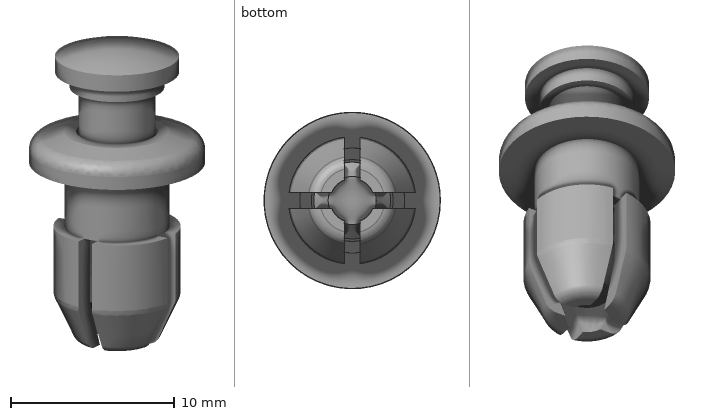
import cadquery as cq

total_height = 19.1

flange_diameter = 10.8
flange_radius = flange_diameter / 2
flange_bottom = 11.5
flange_top = 13.48
flange_corner_height = 13.0
flange_fillet = 0.84
shank_radius = 3.2
collar_radius = 3.9
collar_top = 7.4
nose_top = 3.02
nose_bottom_radius = 2.48
nose_fillet = 0.8
bore_radius = 2.5
bore_taper_top = nose_top
bore_bottom_radius = 1.34
slot_width = 0.95
slot_length = flange_diameter

head_radius = 3.8
head_edge_top = 18.35
head_bottom = 17.3
head_step_radius = 2.9
head_step_bottom = 16.33
stem_radius = 2.35
neck_radius = 2.0
neck_top = collar_top
ring_top = 5.23
ring_bottom = 4.72
tip_widest = nose_top
tip_bottom = 2.0
tip_radius = 1.47


def circle_at(body, height, radius):
    """Select the circular edge of the given height and radius."""
    reach = radius + 0.2
    slack = 0.02
    return body.edges(
        cq.selectors.BoxSelector(
            (-reach, -reach, height - slack), (reach, reach, height + slack), boundingbox=True
        )
    )


def make_sleeve_blank():
    """Solid of revolution with the flange rim and both nose corners rounded."""
    profile = [
        (0, 0),
        (nose_bottom_radius, 0),
        (collar_radius, nose_top),
        (collar_radius, collar_top),
        (shank_radius, collar_top),
        (shank_radius, flange_bottom),
        (flange_radius, flange_bottom),
        (flange_radius, flange_corner_height),
        (shank_radius, flange_top),
        (0, flange_top),
    ]
    blank = cq.Workplane("XZ").polyline(profile).close().revolve(360, (0, 0, 0), (0, 1, 0))
    blank = circle_at(blank, flange_corner_height, flange_radius).fillet(flange_fillet)
    blank = circle_at(blank, nose_top, collar_radius).fillet(nose_fillet)
    return circle_at(blank, 0, nose_bottom_radius).fillet(nose_fillet)


def make_bore():
    """Straight bore that narrows inside the nose."""
    profile = [
        (0, 0),
        (bore_bottom_radius, 0),
        (bore_radius, bore_taper_top),
        (bore_radius, flange_top),
        (0, flange_top),
    ]
    return cq.Workplane("XZ").polyline(profile).close().revolve(360, (0, 0, 0), (0, 1, 0))


def make_slot(angle):
    """Slot across the full collar diameter, from the collar top down through the nose."""
    slot = cq.Workplane("XY").box(slot_length, slot_width, collar_top, centered=(True, True, False))
    return slot.rotate((0, 0, 0), (0, 0, 1), angle)


def make_sleeve():
    sleeve = make_sleeve_blank().cut(make_bore())
    for angle in (0, 90):
        sleeve = sleeve.cut(make_slot(angle))
    return sleeve


def make_pin():
    """Revolved pin; the head dome is part of a sphere centred on the axis."""
    dome_height = total_height - head_edge_top
    dome_sphere_radius = (head_radius**2 + dome_height**2) / (2 * dome_height)
    dome_centre = total_height - dome_sphere_radius
    dome_mid_radius = head_radius / 2
    dome_mid_height = dome_centre + (dome_sphere_radius**2 - dome_mid_radius**2) ** 0.5
    return (
        cq.Workplane("XZ")
        .moveTo(0, tip_bottom)
        .lineTo(tip_radius, tip_bottom)
        .lineTo(stem_radius, tip_widest)
        .lineTo(neck_radius, ring_bottom)
        .lineTo(stem_radius, ring_bottom)
        .lineTo(stem_radius, ring_top)
        .lineTo(neck_radius, ring_top)
        .lineTo(neck_radius, neck_top)
        .lineTo(stem_radius, neck_top)
        .lineTo(stem_radius, head_step_bottom)
        .lineTo(head_step_radius, head_step_bottom)
        .lineTo(head_step_radius, head_bottom)
        .lineTo(head_radius, head_bottom)
        .lineTo(head_radius, head_edge_top)
        .threePointArc((dome_mid_radius, dome_mid_height), (0, total_height))
        .close()
        .revolve(360, (0, 0, 0), (0, 1, 0))
    )


sleeve = make_sleeve()
pin = make_pin()
result = cq.Compound.makeCompound([sleeve.val(), pin.val()])